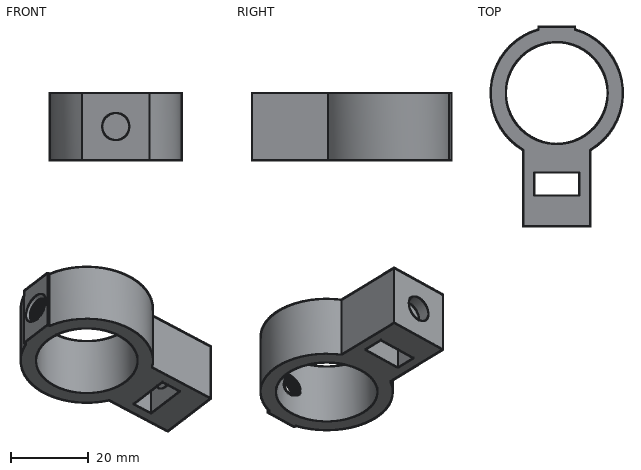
import cadquery as cq
import math

height = 17.4
ring_bore_diameter = 26.2
ring_outer_diameter = 34.17
ring_outer_radius = ring_outer_diameter / 2
ring_bore_radius = ring_bore_diameter / 2

overall_length = 51.47
pad_width = 9.5
pad_face_y = 17.1
arm_width = height
arm_end_y = pad_face_y - overall_length

slot_length = 11.6
slot_width = 5.85
slot_to_arm_end = 8.0
slot_near_y = arm_end_y + slot_to_arm_end

arm_hole_diameter = 6.99
plug_recess = 3.5
plug_length = slot_to_arm_end - plug_recess

thread_minor_diameter = 5.52
thread_major_diameter = 6.55
countersink_diameter = 7.9
thread_pitch = 1.27
thread_half_angle = math.radians(30)
thread_root_flat = thread_pitch / 8
thread_overlap = 0.1
thread_start_y = 9.95
thread_turns = math.ceil((pad_face_y - thread_start_y) / thread_pitch) + 1
thread_end_y = thread_start_y + (thread_turns + 1) * thread_pitch

hole_axis_z = height / 2


def cylinder_along_y(diameter, start_y, length):
    """Cylinder on the common hole axis, running towards +Y from start_y."""
    plane = cq.Plane(origin=(0, start_y, hole_axis_z), xDir=(1, 0, 0), normal=(0, 1, 0))
    return cq.Workplane(plane).circle(diameter / 2).extrude(length)


def block(width, start_y, end_y):
    """Full-height block, centred on X, between two Y positions."""
    length = end_y - start_y
    return (
        cq.Workplane("XY")
        .center(0, (start_y + end_y) / 2)
        .rect(width, length)
        .extrude(height)
    )


def make_thread_groove():
    """Helical V groove with a narrow flat root, turned to run along +Y."""
    minor_radius = thread_minor_diameter / 2
    major_radius = thread_major_diameter / 2
    inner_radius = minor_radius - thread_overlap
    root_half = thread_root_flat / 2
    mouth_half = root_half + (major_radius - inner_radius) * math.tan(thread_half_angle)

    helix = cq.Wire.makeHelix(thread_pitch, thread_turns * thread_pitch, minor_radius)
    groove = (
        cq.Workplane("XZ")
        .polyline([
            (inner_radius, -mouth_half),
            (major_radius, -root_half),
            (major_radius, root_half),
            (inner_radius, mouth_half),
        ])
        .close()
        .sweep(cq.Workplane(helix), isFrenet=True)
    )
    return groove.rotate((0, 0, 0), (1, 0, 0), -90).translate((0, thread_start_y, hole_axis_z))


def make_countersink():
    """45 degree cone from the pad face down to the thread's minor diameter."""
    minor_radius = thread_minor_diameter / 2
    mouth_radius = countersink_diameter / 2
    depth = mouth_radius - minor_radius
    tip = cq.Vector(0, pad_face_y - depth, hole_axis_z)
    cone = cq.Solid.makeCone(minor_radius, mouth_radius, depth, pnt=tip, dir=cq.Vector(0, 1, 0))
    return cq.Workplane(cone)


def make_tap():
    """Drill at the minor diameter joined with the thread groove."""
    drill = cylinder_along_y(thread_minor_diameter, 0, thread_end_y)
    return drill.union(make_thread_groove())


def make_holder():
    """Ring with its pad and arm, all openings cut."""
    holder = cq.Workplane("XY").circle(ring_outer_radius).extrude(height)
    holder = holder.union(block(pad_width, 0, pad_face_y))
    holder = holder.union(block(arm_width, arm_end_y, 0))
    holder = holder.cut(cq.Workplane("XY").circle(ring_bore_radius).extrude(height))

    slot = block(slot_length, slot_near_y, slot_near_y + slot_width)
    holder = holder.cut(slot)
    holder = holder.cut(cylinder_along_y(arm_hole_diameter, arm_end_y, slot_to_arm_end))

    holder = holder.cut(make_countersink())
    return holder.cut(make_tap())


def make_plug():
    """Round plug filling the inner part of the arm hole, flush with the slot wall."""
    return cylinder_along_y(arm_hole_diameter, arm_end_y + plug_recess, plug_length)


holder = make_holder()
plug = make_plug()

result = cq.Compound.makeCompound([*holder.solids().vals(), *plug.solids().vals()])